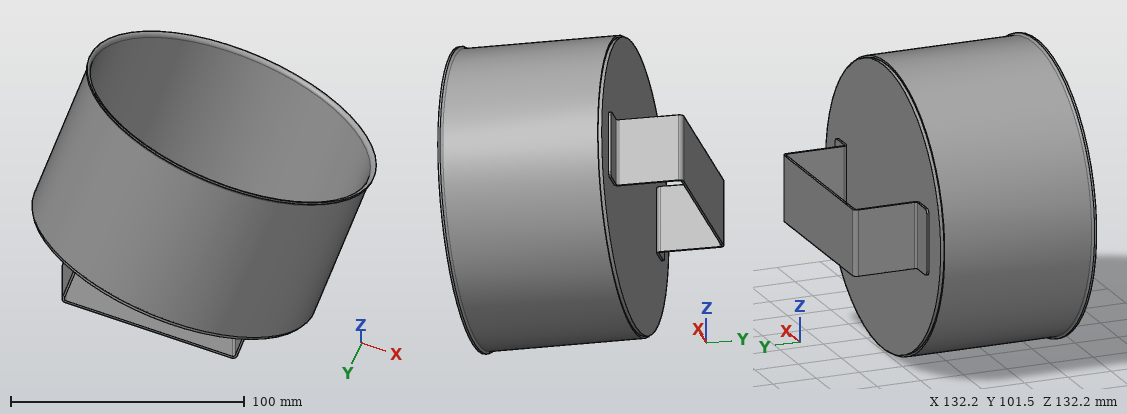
import cadquery as cq

rim_diameter = 132.2
tube_diameter = 130.2
sheet = 0.99
tube_length = 69.9

cap_diameter = 128.5
cap_thickness = 1.6

overall_depth = 101.5
handle_span = 80.0
feet_span = 102.3
strip_width = 30.0
foot_corner_radius = 2.0
inner_bend = 0.99

rim_radius = rim_diameter / 2
tube_radius = tube_diameter / 2
bore_radius = tube_radius - sheet
flare_outside = rim_radius - tube_radius
flare_inside = flare_outside + sheet
outer_bend = inner_bend + sheet
cap_back = tube_length + cap_thickness


def make_tube():
    """Revolve the sheet section about Y; both flare arcs share one centre."""
    diagonal = 0.5 ** 0.5
    centre_y = flare_inside

    def flare_middle(radius):
        return rim_radius - radius * diagonal, centre_y - radius * diagonal

    return (
        cq.Workplane("XY")
        .moveTo(bore_radius, tube_length)
        .lineTo(bore_radius, centre_y)
        .threePointArc(flare_middle(flare_inside), (rim_radius, 0))
        .lineTo(rim_radius, sheet)
        .threePointArc(flare_middle(flare_outside), (tube_radius, centre_y))
        .lineTo(tube_radius, tube_length)
        .close()
        .revolve(360, (0, 0, 0), (0, 1, 0))
    )


def make_cap():
    """Disc seated on the rear end of the tube."""
    return (
        cq.Workplane("XZ", origin=(0, tube_length, 0))
        .circle(cap_diameter / 2)
        .extrude(-cap_thickness)
    )


def make_handle():
    """Hat-shaped strip with rounded bends and rounded foot corners."""
    half_span = handle_span / 2
    half_feet = feet_span / 2
    inner_half_span = half_span - sheet
    foot_top = cap_back + sheet
    grip_inside = overall_depth - sheet
    strip = (
        cq.Workplane("XY")
        .polyline([
            (-half_feet, cap_back),
            (-inner_half_span, cap_back),
            (-inner_half_span, grip_inside),
            (inner_half_span, grip_inside),
            (inner_half_span, cap_back),
            (half_feet, cap_back),
            (half_feet, foot_top),
            (half_span, foot_top),
            (half_span, overall_depth),
            (-half_span, overall_depth),
            (-half_span, foot_top),
            (-half_feet, foot_top),
        ])
        .close()
        .extrude(strip_width / 2, both=True)
    )

    def bend_edges(x, y):
        return cq.selectors.BoxSelector(
            (-x - sheet / 2, y - sheet / 2, -strip_width),
            (x + sheet / 2, y + sheet / 2, strip_width),
        )

    def round_bends(body, x, y, radius):
        edges = body.edges("|Z").edges(bend_edges(x, y))
        return edges.fillet(radius)

    strip = round_bends(strip, half_span, overall_depth, outer_bend)
    strip = round_bends(strip, inner_half_span, grip_inside, inner_bend)
    strip = round_bends(strip, inner_half_span, cap_back, outer_bend)
    strip = round_bends(strip, half_span, foot_top, inner_bend)
    return strip.edges("|Y").edges("<X or >X").fillet(foot_corner_radius)


tube = make_tube()
cap = make_cap()
handle = make_handle()

result = cq.Compound.makeCompound([tube.val(), cap.val(), handle.val()])